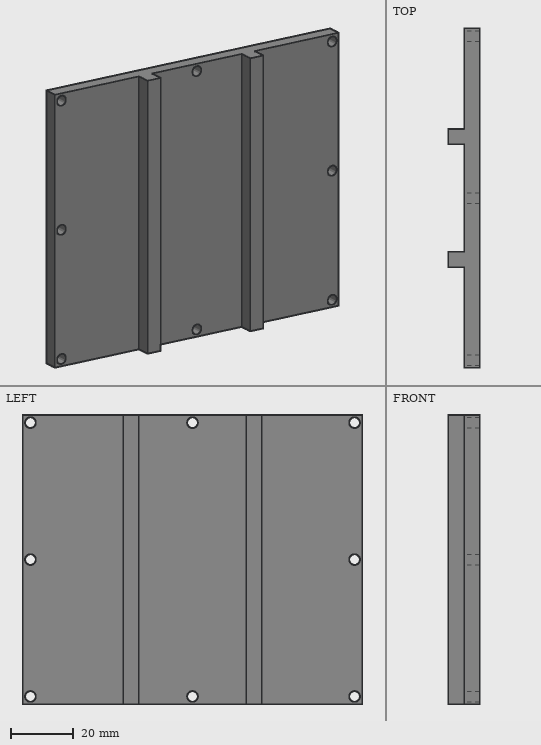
import cadquery as cq

depth = 10.0
width = 108.0
height = 92.0

plate_thickness = depth / 2
rib_width = 5.0
rib_spacing = 39.1

hole_diameter = 3.3
hole_inset = 2.5

rib_height = depth - plate_thickness
hole_y = width / 2 - hole_inset
hole_z = height / 2 - hole_inset


def make_plate():
    """Upright plate with its ribbed face on the plane X = 0."""
    return cq.Workplane("XY").box(plate_thickness, width, height, centered=(False, True, True))


def make_rib(y):
    """Full-height rib standing out from the plate toward -X."""
    rib = cq.Workplane("XY").box(depth, rib_width, height, centered=(False, True, True))
    return rib.translate((-rib_height, y, 0))


def make_holes():
    """Through holes at the corners and edge midpoints, with none in the center."""
    points = [
        (y, z)
        for y in (-hole_y, 0, hole_y)
        for z in (-hole_z, 0, hole_z)
        if (y, z) != (0, 0)
    ]
    return cq.Workplane("YZ").pushPoints(points).circle(hole_diameter / 2).extrude(plate_thickness)


result = make_plate()
for rib_y in (-rib_spacing / 2, rib_spacing / 2):
    result = result.union(make_rib(rib_y))
result = result.cut(make_holes())